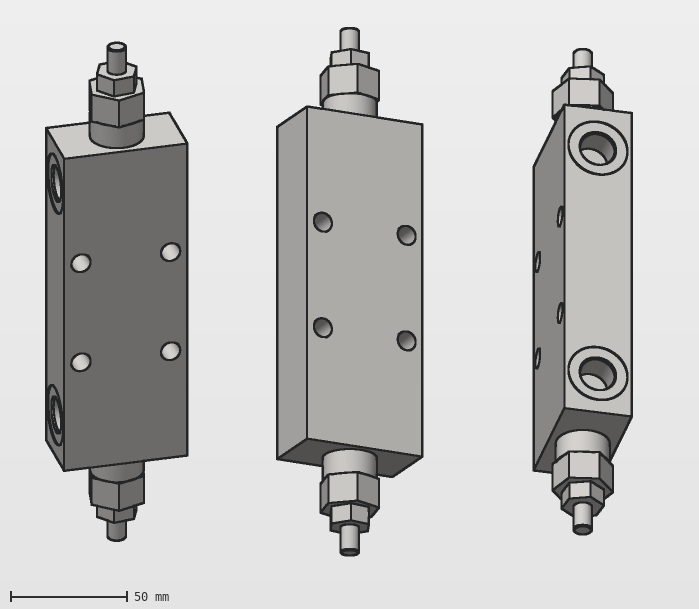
import cadquery as cq

BODY_X = 30.0
BODY_Y = 55.0
BODY_Z = 151.0

OVERALL_LENGTH = 237.5
COLLAR_DIAMETER = 23.3
COLLAR_LENGTH = 10.7
HEX_ACROSS_CORNERS = 26.1
HEX_LENGTH = 13.0
HEX_TURN = -10.5
LOCKNUT_ACROSS_CORNERS = 18.5
LOCKNUT_LENGTH = 7.8
LOCKNUT_TURN = -22.5
STEM_DIAMETER = 8.0
STEM_CHAMFER = 0.5
STEM_LENGTH = (OVERALL_LENGTH - BODY_Z) / 2 - COLLAR_LENGTH - HEX_LENGTH - LOCKNUT_LENGTH

PORT_SPACING = 112.1
PORT_DIAMETER = 15.2
PORT_DEPTH = 14.3
MOUTH_DIAMETER = 16.2
MOUTH_TAPER_DEPTH = 1.0
SPOTFACE_DIAMETER = 26.1
SPOTFACE_DEPTH = 0.5

MOUNT_DIAMETER = 8.5
MOUNT_SPACING_Y = 40.0
MOUNT_SPACING_Z = 48.0


def cylinder(diameter, length):
    """Round cylinder standing on Z = 0."""
    return cq.Workplane("XY").circle(diameter / 2).extrude(length)


def hex_prism(across_corners, length, turn):
    """Hexagonal prism standing on Z = 0, turned about Z by the given angle in degrees."""
    prism = cq.Workplane("XY").polygon(6, across_corners).extrude(length)
    return prism.rotate((0, 0, 0), (0, 0, 1), turn)


def make_cartridge():
    """Upper cartridge: collar, hexagon, locknut and adjusting stem stacked on the body."""
    hex_base = BODY_Z / 2 + COLLAR_LENGTH
    locknut_base = hex_base + HEX_LENGTH
    stem_base = locknut_base + LOCKNUT_LENGTH

    collar = cylinder(COLLAR_DIAMETER, COLLAR_LENGTH).translate((0, 0, BODY_Z / 2))
    hexagon = hex_prism(HEX_ACROSS_CORNERS, HEX_LENGTH, HEX_TURN).translate((0, 0, hex_base))
    locknut = hex_prism(LOCKNUT_ACROSS_CORNERS, LOCKNUT_LENGTH, LOCKNUT_TURN).translate((0, 0, locknut_base))
    stem = cylinder(STEM_DIAMETER, STEM_LENGTH).translate((0, 0, stem_base))
    stem = stem.faces(">Z").chamfer(STEM_CHAMFER)
    return collar.union(hexagon).union(locknut).union(stem)


def make_ports():
    """Cutter for both ports: shallow spotface and a blind bore with a tapered mouth."""
    bore_radius = PORT_DIAMETER / 2
    mouth_radius = MOUTH_DIAMETER / 2
    profile = [
        (0, 0),
        (SPOTFACE_DIAMETER / 2, 0),
        (SPOTFACE_DIAMETER / 2, SPOTFACE_DEPTH),
        (mouth_radius, SPOTFACE_DEPTH),
        (bore_radius, SPOTFACE_DEPTH + MOUTH_TAPER_DEPTH),
        (bore_radius, PORT_DEPTH),
        (0, PORT_DEPTH),
    ]
    port = cq.Workplane("XY").polyline(profile).close().revolve(360, (0, 0, 0), (0, 1, 0))
    port = port.translate((0, -BODY_Y / 2, PORT_SPACING / 2))
    return port.union(port.mirror("XY"))


body = cq.Workplane("XY").box(BODY_X, BODY_Y, BODY_Z)

mounting_holes = (
    cq.Workplane("YZ")
    .rarray(MOUNT_SPACING_Y, MOUNT_SPACING_Z, 2, 2)
    .circle(MOUNT_DIAMETER / 2)
    .extrude(BODY_X / 2, both=True)
)

cartridge = make_cartridge()

result = (
    body.union(cartridge)
    .union(cartridge.mirror("XY"))
    .cut(make_ports())
    .cut(mounting_holes)
)